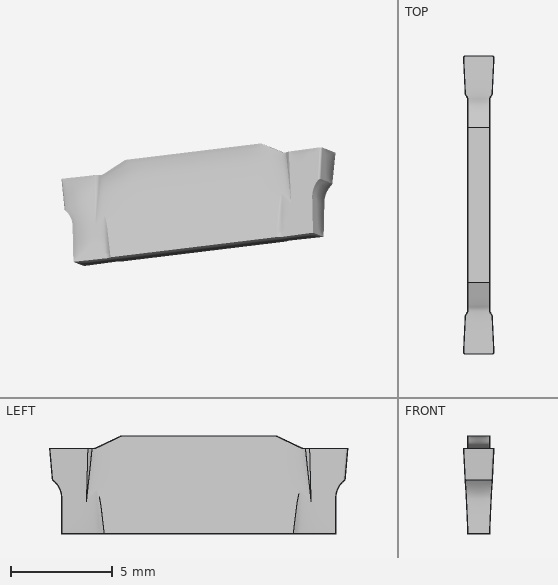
import cadquery as cq
import math


cutting_width = 1.5
overall_length = 14.65
overall_height = 4.81
plate_width = 1.1
edge_height = 4.2

front_clearance_angle = 5.0
front_face_height = 1.55
neck_setback = 0.59
neck_radius = 1.06

ramp_setback = 2.14
ramp_angle = 25.5
ramp_radius = 0.4

side_relief_angle = 2.75
side_clearance_angle = 2.6
corner_radius = 0.1

shoulder_start = 1.88
shoulder_end = 2.09
shoulder_tip_setback = 1.81

runout_radius = 0.4
runout_setback = 2.40
runout_lean_angle = 2.6

block_size = 20.0

half_length = overall_length / 2
half_plate = plate_width / 2
front_clearance = math.tan(math.radians(front_clearance_angle))
relief = math.tan(math.radians(side_relief_angle))
clearance = math.tan(math.radians(side_clearance_angle))
half_width = cutting_width / 2 + relief * corner_radius


def head_side_point(setback, depth):
    """Point on the +X side face of the -Y head, from distances behind and below the cutting edge."""
    x = half_width - relief * setback - clearance * depth
    return cq.Vector(x, setback - half_length, edge_height - depth)


def plate_side_point(setback, depth):
    """Point on the +X side of the plate, from distances behind and below the cutting edge."""
    return cq.Vector(half_plate, setback - half_length, edge_height - depth)


def side_profile(width):
    """Side outline of the whole insert, extruded symmetrically to the given width."""
    front_setback = front_face_height * front_clearance
    front_y = half_length - front_setback
    front_z = edge_height - front_face_height
    neck_y = half_length - neck_setback

    neck_sweep = math.acos(1 - (front_y - neck_y) / neck_radius)
    neck_z = front_z - neck_radius * math.sin(neck_sweep)
    neck_mid_y = neck_y + neck_radius * (1 - math.cos(neck_sweep / 2))
    neck_mid_z = neck_z + neck_radius * math.sin(neck_sweep / 2)

    ramp = math.radians(ramp_angle)
    ramp_start_y = half_length - ramp_setback
    bend_y = ramp_start_y - ramp_radius * math.sin(ramp)
    bend_z = edge_height + ramp_radius * (1 - math.cos(ramp))
    bend_mid_y = ramp_start_y - ramp_radius * math.sin(ramp / 2)
    bend_mid_z = edge_height + ramp_radius * (1 - math.cos(ramp / 2))
    crest_y = bend_y - (overall_height - bend_z) / math.tan(ramp)

    return (
        cq.Workplane("YZ")
        .moveTo(-neck_y, 0)
        .lineTo(neck_y, 0)
        .lineTo(neck_y, neck_z)
        .threePointArc((neck_mid_y, neck_mid_z), (front_y, front_z))
        .lineTo(half_length, edge_height)
        .lineTo(ramp_start_y, edge_height)
        .threePointArc((bend_mid_y, bend_mid_z), (bend_y, bend_z))
        .lineTo(crest_y, overall_height)
        .lineTo(-crest_y, overall_height)
        .lineTo(-bend_y, bend_z)
        .threePointArc((-bend_mid_y, bend_mid_z), (-ramp_start_y, edge_height))
        .lineTo(-half_length, edge_height)
        .lineTo(-front_y, front_z)
        .threePointArc((-neck_mid_y, neck_mid_z), (-neck_y, neck_z))
        .close()
        .extrude(width / 2, both=True)
    )


def shoulder_cutter():
    """Large block on the +X side of the shoulder plane behind the head side face."""
    tip_depth = (half_width - half_plate - relief * shoulder_tip_setback) / clearance
    upper_front = head_side_point(shoulder_start, 0)
    upper_back = plate_side_point(shoulder_end, 0)
    tip = plate_side_point(shoulder_tip_setback, tip_depth)
    along = upper_back - upper_front
    plane = cq.Plane(origin=upper_front, xDir=along, normal=along.cross(upper_front - tip))
    return cq.Workplane(plane).rect(block_size, block_size).extrude(block_size)


def side_cutter():
    """Clearance outside the head side face, ending in a concave run-out radius tangent to it."""
    lean = math.tan(math.radians(runout_lean_angle))
    foot = head_side_point(runout_setback, edge_height)
    upper = head_side_point(runout_setback - lean * edge_height, 0)
    axis = upper - foot
    outward = cq.Vector(1, relief, -clearance)
    plane = cq.Plane(origin=foot - axis, xDir=outward.cross(axis), normal=axis)
    arc_mid = runout_radius * math.sin(math.pi / 4)
    return (
        cq.Workplane(plane)
        .lineTo(half_length, 0)
        .lineTo(half_length, runout_radius)
        .lineTo(-runout_radius, runout_radius)
        .threePointArc((-arc_mid, runout_radius - arc_mid), (0, 0))
        .close()
        .extrude(block_size)
    )


def cut_both_sides(body, cutter):
    """Cut with a +X side cutter and with its mirror image on the -X side."""
    return body.cut(cutter).cut(cutter.mirror("YZ"))


def make_head_blank():
    """Full-width block of the -Y head, narrowed to the plate by the shoulders."""
    end_block = cq.Workplane("XY").box(block_size, 2 * ramp_setback, block_size)
    blank = side_profile(2 * half_width).intersect(end_block.translate((0, -half_length, 0)))
    return cut_both_sides(blank, shoulder_cutter())


def round_front_corners(body):
    """Round the upright corners of both front faces."""
    middle_depth = front_face_height / 2
    point = head_side_point(middle_depth * front_clearance, middle_depth)
    for x_sign in (-1, 1):
        for y_sign in (-1, 1):
            corner = (x_sign * point.x, y_sign * point.y, point.z)
            body = body.edges(cq.selectors.NearestToPointSelector(corner)).fillet(corner_radius)
    return body


head_blank = make_head_blank()
insert = side_profile(plate_width).union(head_blank).union(head_blank.mirror("XZ"))
insert = cut_both_sides(insert, side_cutter())
insert = cut_both_sides(insert, side_cutter().mirror("XZ"))
result = round_front_corners(insert)